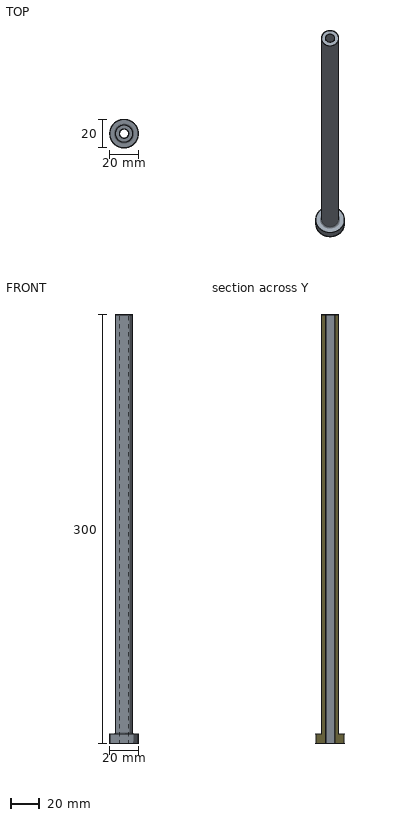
import cadquery as cq

total_length = 300.0
head_diameter = 20.0
head_thickness = 7.0
shaft_diameter = 12.0
bore_diameter = 6.3
neck_fillet = 0.5

head = cq.Workplane("XY").circle(head_diameter / 2).extrude(head_thickness)
shaft = cq.Workplane("XY").circle(shaft_diameter / 2).extrude(total_length)
body = head.union(shaft)

head_top = body.faces("<Z[1]")
neck_edge = head_top.edges(cq.selectors.RadiusNthSelector(0))
body = neck_edge.fillet(neck_fillet)

bore = cq.Workplane("XY").circle(bore_diameter / 2).extrude(total_length)
result = body.cut(bore)